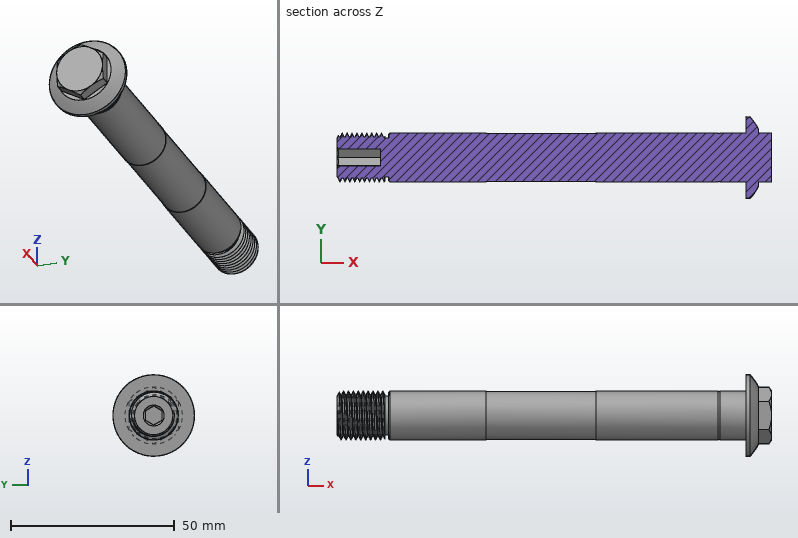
import cadquery as cq
import math

total_length = 132.8
shank_radius = 7.5
quarter_turn = 90

thread_pitch = 1.5
thread_depth = 1.2
thread_root_radius = shank_radius - thread_depth
thread_length = 14.6
thread_run_in = 1.7
root_overlap = 0.1
ridge_half_width = 0.7
crest_clearance = 0.3
tip_radius = 5.8
tip_chamfer_length = 0.9
undercut_radius = 6.0
shoulder_x = 15.8
shoulder_chamfer = 0.4
socket_across_flats = 5.0
socket_corner_radius = socket_across_flats / math.sqrt(3)
socket_mouth_radius = 3.2
socket_mouth_depth = 0.5
socket_depth = 13.3

relief_start = 45.5
relief_end = 79.2
relief_depth = 0.1
groove_x = 116.5
groove_width = 0.5
groove_depth = 0.1

flange_radius = 12.5
flange_x = 125.0
flange_rim_width = 1.3
head_x = 128.8
slope_top_radius = 8.8
flange_crown = 0.2
hex_across_flats = 2 * shank_radius
hex_corner_radius = hex_across_flats / math.sqrt(3)
head_chamfer_radius = hex_across_flats / 2
head_chamfer_length = 0.8


def revolve_about_x(profile):
    """Revolve a closed XY profile a full turn about the bolt axis."""
    return profile.close().revolve(360, (0, 0, 0), (1, 0, 0))


def ring(start, end, inner_radius, outer_radius):
    """Tube around the bolt axis."""
    plane = cq.Workplane("YZ", origin=(start, 0, 0))
    return plane.circle(outer_radius).circle(inner_radius).extrude(end - start)


def make_body():
    """Thread core, undercut, shank and flange as one turned shape."""
    rim_end = flange_x + flange_rim_width
    profile = (
        cq.Workplane("XY")
        .lineTo(0, thread_root_radius)
        .lineTo(thread_length, thread_root_radius)
        .lineTo(thread_length, undercut_radius)
        .lineTo(shoulder_x, undercut_radius)
        .lineTo(shoulder_x, shank_radius - shoulder_chamfer)
        .lineTo(shoulder_x + shoulder_chamfer, shank_radius)
        .lineTo(flange_x, shank_radius)
        .lineTo(flange_x, flange_radius)
        .lineTo(rim_end, flange_radius)
        .sagittaArc((head_x, slope_top_radius), flange_crown)
        .lineTo(head_x, 0)
    )
    return revolve_about_x(profile).rotate((0, 0, 0), (1, 0, 0), 2 * quarter_turn)


def make_thread():
    """Right-handed triangular ridge, trimmed to the threaded length."""
    inner_radius = thread_root_radius - root_overlap
    helix = cq.Wire.makeHelix(thread_pitch, thread_length + 2 * thread_pitch, inner_radius)
    ridge = (
        cq.Workplane("XZ")
        .moveTo(inner_radius, -ridge_half_width)
        .lineTo(shank_radius, 0)
        .lineTo(inner_radius, ridge_half_width)
        .close()
        .sweep(cq.Workplane(obj=helix), isFrenet=True)
    )
    ridge = ridge.rotate((0, 0, 0), (0, 1, 0), quarter_turn).translate((-thread_run_in, 0, 0))
    trim_radius = shank_radius + crest_clearance
    chamfer_slope = tip_chamfer_length / (shank_radius - tip_radius)
    chamfer_end = (trim_radius - tip_radius) * chamfer_slope
    trim = (
        cq.Workplane("XY")
        .lineTo(0, tip_radius)
        .lineTo(chamfer_end, trim_radius)
        .lineTo(thread_length, trim_radius)
        .lineTo(thread_length, 0)
    )
    return ridge.intersect(revolve_about_x(trim))


def make_tip_cutter():
    """Conical chamfer around the threaded tip."""
    profile = (
        cq.Workplane("XY")
        .moveTo(0, tip_radius)
        .lineTo(tip_chamfer_length, shank_radius)
        .lineTo(0, shank_radius)
    )
    return revolve_about_x(profile)


def make_head():
    """Hexagon with corners up and down, its end chamfered by a cone."""
    hexagon = (
        cq.Workplane("YZ", origin=(head_x, 0, 0))
        .polygon(6, 2 * hex_corner_radius)
        .extrude(total_length - head_x)
        .rotate((0, 0, 0), (1, 0, 0), quarter_turn)
    )
    envelope = (
        cq.Workplane("XY")
        .moveTo(head_x, 0)
        .lineTo(head_x, hex_corner_radius)
        .lineTo(total_length - head_chamfer_length, hex_corner_radius)
        .lineTo(total_length, head_chamfer_radius)
        .lineTo(total_length, 0)
    )
    return hexagon.intersect(revolve_about_x(envelope))


def make_socket():
    """Blind hexagon socket with a conical mouth in the threaded tip."""
    hexagon = (
        cq.Workplane("YZ")
        .polygon(6, 2 * socket_corner_radius)
        .extrude(socket_depth)
        .rotate((0, 0, 0), (1, 0, 0), quarter_turn)
    )
    mouth = (
        cq.Workplane("XY")
        .lineTo(0, socket_mouth_radius)
        .lineTo(socket_mouth_depth, socket_across_flats / 2)
        .lineTo(socket_mouth_depth, 0)
    )
    return hexagon.union(revolve_about_x(mouth))


relief = ring(relief_start, relief_end, shank_radius - relief_depth, shank_radius)
groove = ring(groove_x, groove_x + groove_width, shank_radius - groove_depth, shank_radius)

result = (
    make_body()
    .union(make_thread())
    .union(make_head())
    .cut(make_tip_cutter())
    .cut(relief)
    .cut(groove)
    .cut(make_socket())
)